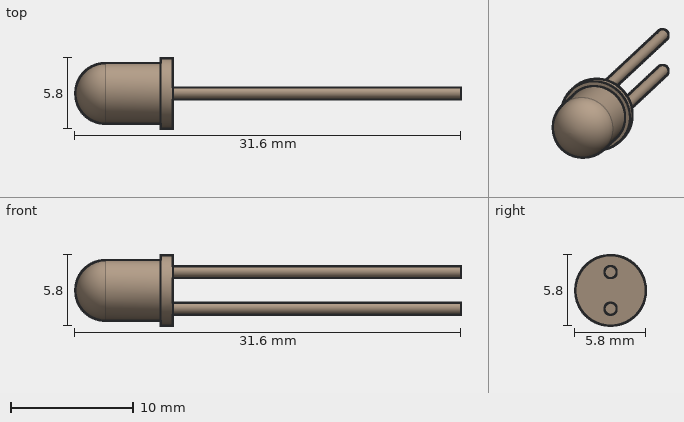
import cadquery as cq

overall_length = 31.6
lens_diameter = 5.0
flange_diameter = 5.8
flange_thickness = 1.0
head_length = 8.0
lead_diameter = 1.0
lead_spacing = 3.0

lens_radius = lens_diameter / 2
flange_radius = flange_diameter / 2
lead_length = overall_length - head_length

tip_x = -head_length
dome_base_x = tip_x + lens_radius
flange_front_x = -flange_thickness


def make_head():
    """Domed lens and flange, revolved about the X axis."""
    dome_arc_offset = lens_radius * 0.5**0.5
    dome_arc_middle = (dome_base_x - dome_arc_offset, dome_arc_offset)
    return (
        cq.Workplane("XY")
        .moveTo(tip_x, 0)
        .threePointArc(dome_arc_middle, (dome_base_x, lens_radius))
        .lineTo(flange_front_x, lens_radius)
        .lineTo(flange_front_x, flange_radius)
        .lineTo(0, flange_radius)
        .lineTo(0, 0)
        .close()
        .revolve(360, (0, 0, 0), (1, 0, 0))
    )


def make_lead(center_z):
    """Straight round lead running in +X from the back of the flange."""
    return cq.Workplane("YZ").center(0, center_z).circle(lead_diameter / 2).extrude(lead_length)


result = make_head()
for side in (-1, 1):
    result = result.union(make_lead(side * lead_spacing / 2))